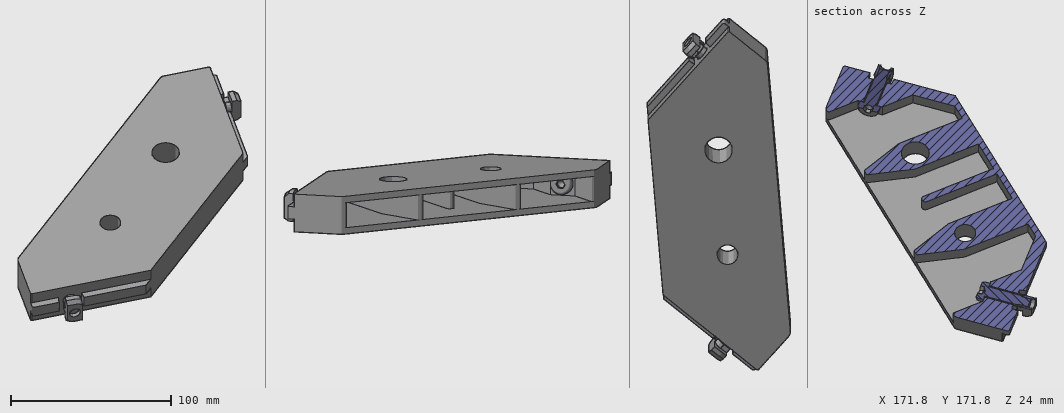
import cadquery as cq
import math

height = 24.0
rail_reach = 164.0
ledge = 4.1
mount_reach = rail_reach - ledge
front_corner = 128.5
rear_corner = 73.5
corner_radius = 4.1
rail_height = 7.9
rail_end_round = 1.4
mount_corner_chamfer = 0.7

plate = 4.1
end_wall = 87.3
entry_radius = 1.4
rib_offset = 34.9
rib_front = 2.0
rib_block = 22.7
flare_end = 29.0
flare_blend = 4.5
middle_rib = 5.0
middle_rib_tip = 22.2
middle_rib_round = 2.2

hole_depth = 34.9
large_hole = 17.0
small_hole = 12.9

seat_start = 17.4
seat_end = 33.3
bolt_offset = (seat_start + seat_end) / 2
rail_gap_taper = 0.5
clearance_hole = 9.0
screw_diameter = 8.0
thread_diameter = 6.9
head_diameter = 13.7
head_height = 5.0
head_round = 1.5
socket_size = 5.0
socket_sides = 6
socket_depth = 2.5
drill_angle = 60.0
outer_reach = 171.8
nut_length = 18.9
nut_width = 9.8
nut_head = 5.8
nut_collar = 3.3
collar_diameter = 9.0
collar_step = 3.8
nut_chamfer_axial = 2.7
nut_chamfer_radial = 1.9

mid_height = height / 2
nut_face = outer_reach - nut_head
nut_start = nut_face - nut_collar
screw_tip = outer_reach - nut_chamfer_axial

diagonal = cq.Plane(
    origin=(front_corner / 2, front_corner / 2, 0), xDir=(1, -1, 0), normal=(0, 0, 1)
)
back_depth = (rail_reach + rear_corner - front_corner) / math.sqrt(2) - plate
cavity_height = height - 2 * plate


def to_diagonal(x, y):
    """Plan position (x, y) as (u, v) in the diagonal frame."""
    return (x - y) / math.sqrt(2), (x + y - front_corner) / math.sqrt(2)


seat_reach = seat_start + end_wall * math.sqrt(2)


def housing_blank():
    outline = [
        (0, front_corner),
        (front_corner, 0),
        (rail_reach, 0),
        (rail_reach, rear_corner),
        (rear_corner, rail_reach),
        (0, rail_reach),
    ]
    blank = cq.Workplane("XY").polyline(outline).close().extrude(height)
    for x, y in ((0, front_corner), (front_corner, 0)):
        corner = cq.selectors.NearestToPointSelector((x, y, mid_height))
        blank = blank.edges(corner).fillet(corner_radius)
    for x, y in ((0, rail_reach), (rail_reach, 0)):
        corner = cq.selectors.NearestToPointSelector((x, y, mid_height))
        blank = blank.edges(corner).fillet(rail_end_round)
    return blank


def rail_clearance():
    """Everything beyond the mounting faces except the rails."""
    beyond = (
        cq.Workplane("XY")
        .rect(outer_reach, outer_reach, centered=False)
        .extrude(height)
        .cut(cq.Workplane("XY").rect(mount_reach, mount_reach, centered=False).extrude(height))
    )
    rail_zone = (
        cq.Workplane("XY", origin=(0, 0, mid_height - rail_height / 2))
        .rect(outer_reach, outer_reach, centered=False)
        .extrude(rail_height)
    )
    return beyond.cut(rail_zone)


def rail_gap():
    """Gap that clears the T-nut in the +X rail."""
    outline = [
        (mount_reach, seat_start + rail_gap_taper),
        (rail_reach, seat_start),
        (rail_reach, seat_end),
        (mount_reach, seat_end - rail_gap_taper),
    ]
    return cq.Workplane("XY").polyline(outline).close().extrude(height)


def chamfer_mount_corners(body):
    """Break the end edges of the mounting faces above and below each rail."""
    edge_height = (height - rail_height) / 4
    for x, y in ((0, mount_reach), (mount_reach, 0)):
        for z in (edge_height, height - edge_height):
            corner = cq.selectors.NearestToPointSelector((x, y, z))
            body = body.edges(corner).chamfer(mount_corner_chamfer)
    return body


def end_bay():
    """Cavity between a main rib and the housing end on the +u side."""
    rib_edge = rib_offset + rib_front / 2
    rib_side = rib_offset + rib_block / 2
    inset = entry_radius * (1 - math.sqrt(0.5))
    inner_face = mount_reach - plate
    seat_outer = to_diagonal(seat_reach, seat_start)
    seat_inner = to_diagonal(seat_reach, seat_end)
    inner_wall_end = to_diagonal(inner_face, inner_face - seat_inner[0] * math.sqrt(2))
    rear_y = front_corner + back_depth * math.sqrt(2) - inner_face
    rear_end = to_diagonal(inner_face, rear_y)
    bay = (
        cq.Workplane(diagonal)
        .workplane(offset=plate)
        .moveTo(rib_edge, 0)
        .threePointArc(
            (rib_edge + entry_radius - inset, inset), (rib_edge + entry_radius, entry_radius)
        )
        .lineTo(rib_side, flare_end)
        .lineTo(rib_side, back_depth)
        .lineTo(*rear_end)
        .lineTo(*inner_wall_end)
        .lineTo(*seat_inner)
        .lineTo(*seat_outer)
        .lineTo(end_wall, entry_radius)
        .threePointArc((end_wall + inset, inset), (end_wall + entry_radius, 0))
        .close()
        .extrude(cavity_height)
    )
    flare_corner = diagonal.toWorldCoords((rib_side, flare_end, mid_height))
    return bay.edges(cq.selectors.NearestToPointSelector(flare_corner.toTuple())).fillet(flare_blend)


def middle_bay():
    """Cavity between the two main ribs, split at the rear by the middle rib."""
    rib_edge = rib_offset - rib_front / 2
    rib_side = rib_offset - rib_block / 2
    inset = entry_radius * (1 - math.sqrt(0.5))
    bay = (
        cq.Workplane(diagonal)
        .workplane(offset=plate)
        .moveTo(rib_edge, 0)
        .threePointArc(
            (rib_edge - entry_radius + inset, inset), (rib_edge - entry_radius, entry_radius)
        )
        .lineTo(rib_side, flare_end)
        .lineTo(rib_side, back_depth)
        .lineTo(-rib_side, back_depth)
        .lineTo(-rib_side, flare_end)
        .lineTo(-rib_edge + entry_radius, entry_radius)
        .threePointArc((-rib_edge + entry_radius - inset, inset), (-rib_edge, 0))
        .close()
        .extrude(cavity_height)
    )
    rib_length = back_depth - middle_rib_tip
    rib = (
        cq.Workplane(diagonal)
        .center(0, middle_rib_tip + rib_length / 2)
        .rect(middle_rib, rib_length)
        .extrude(height)
        .faces(cq.selectors.DirectionMinMaxSelector(diagonal.yDir, False))
        .edges("|Z")
        .fillet(middle_rib_round)
    )
    return bay.cut(rib)


def swap_xy(shape):
    """Reflect a shape in the plane x = y."""
    return shape.mirror("YZ").rotate((0, 0, 0), (0, 0, 1), -90)


def bolt_hole():
    return (
        cq.Workplane("YZ", origin=(seat_reach, bolt_offset, mid_height))
        .circle(clearance_hole / 2)
        .extrude(mount_reach - seat_reach)
    )


def make_housing():
    body = chamfer_mount_corners(housing_blank().cut(rail_clearance()))
    body = body.cut(middle_bay())
    for feature in (rail_gap(), end_bay(), bolt_hole()):
        body = body.cut(feature).cut(swap_xy(feature))
    for side, diameter in ((-1, large_hole), (1, small_hole)):
        hole = (
            cq.Workplane(diagonal)
            .center(side * rib_offset, hole_depth)
            .circle(diameter / 2)
            .extrude(height)
        )
        body = body.cut(hole)
    return body


def make_screw():
    """Low-head socket screw along +X through the +X mounting wall."""
    seat = cq.Workplane("YZ", origin=(seat_reach, bolt_offset, mid_height))
    shank = seat.circle(screw_diameter / 2).extrude(nut_start - seat_reach)
    thread = seat.circle(thread_diameter / 2).extrude(screw_tip - seat_reach)
    head = seat.circle(head_diameter / 2).extrude(-head_height).faces("<X").edges().fillet(head_round)
    socket_mouth = cq.Workplane("YZ", origin=(seat_reach - head_height, bolt_offset, mid_height))
    socket_corners = socket_size / math.cos(math.pi / socket_sides)
    socket = socket_mouth.polygon(socket_sides, socket_corners).extrude(socket_depth)
    tip_radius = socket_size / 2
    tip_length = tip_radius / math.tan(math.radians(drill_angle))
    drill_tip = cq.Workplane(
        cq.Solid.makeCone(
            tip_radius,
            0,
            tip_length,
            cq.Vector(seat_reach - head_height + socket_depth, bolt_offset, mid_height),
            cq.Vector(1, 0, 0),
        )
    )
    return head.union(shank).union(thread).cut(socket).cut(drill_tip)


def make_nut():
    """Quarter-turn T-nut on the +X screw: two opposite corners of its head are rounded."""
    half_width = nut_width / 2
    half_length = nut_length / 2
    arc_edge = math.sqrt(half_length**2 - half_width**2)
    arc_mid = half_width / 2
    arc_mid_height = math.sqrt(half_length**2 - arc_mid**2)
    head = (
        cq.Workplane("YZ", origin=(nut_face, bolt_offset, mid_height))
        .moveTo(-half_width, half_length)
        .lineTo(0, half_length)
        .threePointArc((arc_mid, arc_mid_height), (half_width, arc_edge))
        .lineTo(half_width, -half_length)
        .lineTo(0, -half_length)
        .threePointArc((-arc_mid, -arc_mid_height), (-half_width, -arc_edge))
        .close()
        .extrude(nut_head)
        .faces(">X")
        .edges("not |Z")
        .chamfer(nut_chamfer_axial, nut_chamfer_radial)
    )
    collar_radius = collar_diameter / 2
    collar = (
        cq.Workplane("YZ", origin=(nut_start, bolt_offset, mid_height))
        .moveTo(0, collar_step)
        .lineTo(half_width, collar_step)
        .lineTo(half_width, 0)
        .lineTo(collar_radius, 0)
        .radiusArc((0, -collar_radius), collar_radius)
        .lineTo(0, -collar_step)
        .lineTo(-half_width, -collar_step)
        .lineTo(-half_width, 0)
        .lineTo(-collar_radius, 0)
        .radiusArc((0, collar_radius), collar_radius)
        .close()
        .extrude(nut_collar)
    )
    bore = (
        cq.Workplane("YZ", origin=(nut_start, bolt_offset, mid_height))
        .circle(thread_diameter / 2)
        .extrude(nut_collar + nut_head)
    )
    return head.union(collar).cut(bore)


def place_on_rear(shape):
    """Turn a +X fastener onto the +Y mounting wall."""
    return shape.rotate((0, 0, 0), (0, 0, 1), 90).translate((2 * bolt_offset, 0, 0))


housing = make_housing()
bodies = [housing.val()]
for fastener in (make_screw(), make_nut()):
    bodies.append(fastener.val())
    bodies.append(place_on_rear(fastener).val())

result = cq.Compound.makeCompound(bodies)